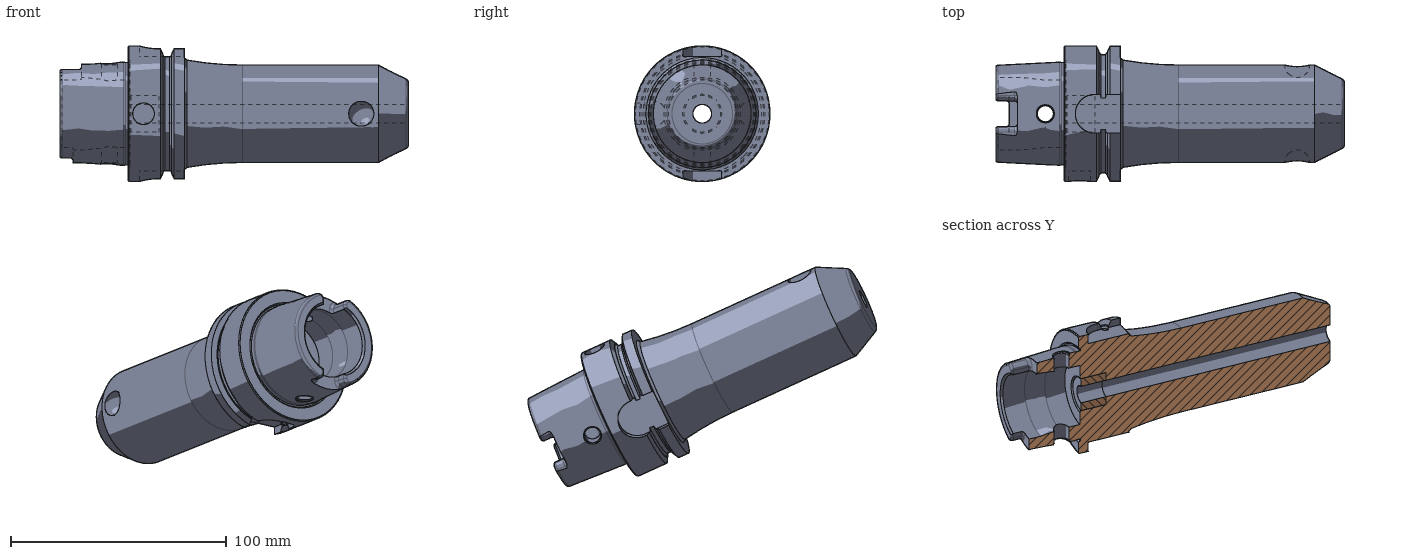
import cadquery as cq
import math

TOTAL_LENGTH = 161.9
FLANGE_START = 31.7
FLANGE_END = 57.8
FLANGE_DIAMETER = 63.0
FLANGE_RADIUS = FLANGE_DIAMETER / 2
FLANGE_CHAMFER = 0.5

SHANK_END_RADIUS = 22.5
SHANK_TAPER = 0.05
SHANK_TAPER_END = 29.6
SHANK_RIM_ROUND = 1.1
RELIEF_RADIUS = 23.8
RELIEF_SLOPE = 1.0
FACE_GROOVE_RADIUS = 25.3
FACE_GROOVE_DEPTH = 0.8
FACE_GROOVE_CHAMFER = 0.6

GROOVE_START = 46.6
GROOVE_END = 53.1
GROOVE_RADIUS = 27.5
GROOVE_CHAMFER = 1.3
GROOVE_CHAMFER_DROP = 2.5
GROOVE_CORNER = 1.0

NECK_START = 59.1
NECK_START_RADIUS = 25.0
NECK_FLARE_RADIUS = 26.0
NECK_END = 84.7
BARREL_RADIUS = 22.7
NOSE_START = 147.8
NOSE_TIP_RADIUS = 15.5
NOSE_ROUND = 2.5

BORE_MOUTH_RADIUS = 17.8
BORE_CHAMFER = 1.0
BORE_RADIUS = 16.8
BORE_STRAIGHT_END = 12.1
BORE_INNER_RADIUS = 15.7
BORE_CONE_END = 22.0
BORE_DEPTH = 32.4
RECESS_RADIUS = 8.4
RECESS_CHAMFER = 0.6
COOLANT_DIAMETER = 8.5
COOLANT_RADIUS = COOLANT_DIAMETER / 2

PLUG_LENGTH = 13.0
PLUG_START = BORE_DEPTH + RECESS_CHAMFER
PLUG_END = PLUG_START + PLUG_LENGTH

NOTCH_HALF_WIDTH = 6.0
NOTCH_ROUND = 2.6
NOTCH_ROUND_TOP = 20.5
NOTCH_FLOOR_FILLET = 1.3
TOP_NOTCH_DEPTH = 10.0
BOTTOM_NOTCH_DEPTH = 6.2

CROSS_HOLE_X = 23.0
CROSS_HOLE_RADIUS = 3.7
CROSS_HOLE_CHAMFER = 0.5

KEYWAY_WIDTH = 18.0
KEYWAY_START = 36.9
KEYWAY_FLOOR = 26.5

CHIP_HOLE_X = 38.9
CHIP_HOLE_RADIUS = 5.0
CHIP_HOLE_DEPTH = 4.9
DIMPLE_X = 139.9
DIMPLE_RADIUS = 5.8


def turn_about_x(outline):
    """Full revolution of a closed XY outline about the X axis."""
    return outline.revolve(360, (0, 0, 0), (1, 0, 0))


def make_outside():
    """Turned outside of the holder, revolved about the X axis."""
    taper_end_radius = SHANK_END_RADIUS + SHANK_TAPER * SHANK_TAPER_END
    groove_side_radius = FLANGE_RADIUS - GROOVE_CHAMFER_DROP

    neck_length = NECK_END - NECK_START
    neck_rise = NECK_START_RADIUS - BARREL_RADIUS
    neck_arc = (neck_length**2 + neck_rise**2) / (2 * neck_rise)
    half_angle = math.asin(neck_length / neck_arc) / 2
    neck_middle = (
        NECK_END - neck_arc * math.sin(half_angle),
        BARREL_RADIUS + neck_arc * (1 - math.cos(half_angle)),
    )

    outline = (
        cq.Workplane("XY")
        .moveTo(0, 0)
        .lineTo(0, SHANK_END_RADIUS)
        .lineTo(SHANK_TAPER_END, taper_end_radius)
        .lineTo(SHANK_TAPER_END + RELIEF_SLOPE, RELIEF_RADIUS)
        .lineTo(FLANGE_START + FACE_GROOVE_DEPTH, RELIEF_RADIUS)
        .lineTo(FLANGE_START + FACE_GROOVE_DEPTH, FACE_GROOVE_RADIUS - FACE_GROOVE_CHAMFER)
        .lineTo(FLANGE_START, FACE_GROOVE_RADIUS)
        .lineTo(FLANGE_START, FLANGE_RADIUS - FLANGE_CHAMFER)
        .lineTo(FLANGE_START + FLANGE_CHAMFER, FLANGE_RADIUS)
        .lineTo(GROOVE_START, FLANGE_RADIUS)
        .lineTo(GROOVE_START + GROOVE_CHAMFER, groove_side_radius)
        .lineTo(GROOVE_START + GROOVE_CHAMFER, GROOVE_RADIUS + GROOVE_CORNER)
        .lineTo(GROOVE_START + GROOVE_CHAMFER + GROOVE_CORNER, GROOVE_RADIUS)
        .lineTo(GROOVE_END - GROOVE_CHAMFER - GROOVE_CORNER, GROOVE_RADIUS)
        .lineTo(GROOVE_END - GROOVE_CHAMFER, GROOVE_RADIUS + GROOVE_CORNER)
        .lineTo(GROOVE_END - GROOVE_CHAMFER, groove_side_radius)
        .lineTo(GROOVE_END, FLANGE_RADIUS)
        .lineTo(FLANGE_END, FLANGE_RADIUS)
        .lineTo(FLANGE_END, NECK_FLARE_RADIUS)
        .lineTo(NECK_START, NECK_START_RADIUS)
        .threePointArc(neck_middle, (NECK_END, BARREL_RADIUS))
        .lineTo(NOSE_START, BARREL_RADIUS)
        .lineTo(TOTAL_LENGTH, NOSE_TIP_RADIUS)
        .lineTo(TOTAL_LENGTH, 0)
        .close()
    )
    return turn_about_x(outline).faces(">X").edges().fillet(NOSE_ROUND)


def make_bore():
    """Stepped cavity: bore, chamfered plug recess and through hole."""
    outline = (
        cq.Workplane("XY")
        .moveTo(0, 0)
        .lineTo(0, BORE_MOUTH_RADIUS)
        .lineTo(BORE_CHAMFER, BORE_RADIUS)
        .lineTo(BORE_STRAIGHT_END, BORE_RADIUS)
        .lineTo(BORE_CONE_END, BORE_INNER_RADIUS)
        .lineTo(BORE_DEPTH, BORE_INNER_RADIUS)
        .lineTo(BORE_DEPTH, RECESS_RADIUS + RECESS_CHAMFER)
        .lineTo(PLUG_START, RECESS_RADIUS)
        .lineTo(PLUG_END, RECESS_RADIUS)
        .lineTo(PLUG_END, COOLANT_RADIUS)
        .lineTo(TOTAL_LENGTH, COOLANT_RADIUS)
        .lineTo(TOTAL_LENGTH, 0)
        .close()
    )
    return turn_about_x(outline)


def make_notch(depth):
    """Cutter for the notch on the +Z side of the shank mouth."""
    inner_z = BORE_INNER_RADIUS / 2
    outer_z = FLANGE_RADIUS
    outer_y = NOTCH_HALF_WIDTH + 3 * NOTCH_ROUND
    round_start = NOTCH_ROUND_TOP - NOTCH_ROUND
    round_end = NOTCH_HALF_WIDTH + NOTCH_ROUND
    half = (
        cq.Workplane("YZ")
        .moveTo(0, inner_z)
        .lineTo(NOTCH_HALF_WIDTH, inner_z)
        .lineTo(NOTCH_HALF_WIDTH, round_start)
        .radiusArc((round_end, NOTCH_ROUND_TOP), NOTCH_ROUND)
        .lineTo(outer_y, NOTCH_ROUND_TOP)
        .lineTo(outer_y, outer_z)
        .lineTo(0, outer_z)
        .mirrorY()
    )
    return half.extrude(depth).faces(">X").edges().fillet(NOTCH_FLOOR_FILLET)


def make_cross_hole():
    """Radial hole through both shank walls, chamfered at the outside."""
    wall_radius = SHANK_END_RADIUS + SHANK_TAPER * CROSS_HOLE_X
    countersink_end = wall_radius - CROSS_HOLE_CHAMFER
    countersink_radius = CROSS_HOLE_RADIUS + CROSS_HOLE_CHAMFER
    outline = (
        cq.Workplane("XZ", origin=(CROSS_HOLE_X, 0, 0))
        .moveTo(0, 0)
        .lineTo(CROSS_HOLE_RADIUS, 0)
        .lineTo(CROSS_HOLE_RADIUS, countersink_end - CROSS_HOLE_CHAMFER)
        .lineTo(countersink_radius, countersink_end)
        .lineTo(countersink_radius, FLANGE_RADIUS)
        .lineTo(0, FLANGE_RADIUS)
        .close()
    )
    upper = outline.revolve(360, (0, 0, 0), (0, 1, 0))
    return upper.union(upper.mirror("XY"))


def make_keyway():
    """Round-ended keyway on the +Z side, open toward the barrel."""
    half_width = KEYWAY_WIDTH / 2
    centre = KEYWAY_START + half_width
    return (
        cq.Workplane("XY", origin=(0, 0, KEYWAY_FLOOR))
        .moveTo(centre, half_width)
        .threePointArc((KEYWAY_START, 0), (centre, -half_width))
        .lineTo(FLANGE_END, -half_width)
        .lineTo(FLANGE_END, half_width)
        .close()
        .extrude(FLANGE_RADIUS - KEYWAY_FLOOR)
    )


def make_chip_hole():
    """Flat-bottomed blind hole on the -Y side of the flange."""
    return (
        cq.Workplane("XZ", origin=(CHIP_HOLE_X, CHIP_HOLE_DEPTH - FLANGE_RADIUS, 0))
        .circle(CHIP_HOLE_RADIUS)
        .extrude(CHIP_HOLE_DEPTH)
    )


def make_dimple(side):
    """Ball centred on the barrel surface, on the -Y or +Y side."""
    return cq.Workplane("XY", origin=(DIMPLE_X, side * BARREL_RADIUS, 0)).sphere(DIMPLE_RADIUS)


def make_holder():
    """Turned body with all its notches, holes, keyways and dimples."""
    holder = make_outside()
    holder = holder.cut(make_notch(TOP_NOTCH_DEPTH))
    holder = holder.cut(make_notch(BOTTOM_NOTCH_DEPTH).mirror("XY"))
    holder = holder.faces("<X").edges().fillet(SHANK_RIM_ROUND)
    holder = holder.cut(make_bore())

    keyway = make_keyway()
    holder = holder.cut(keyway).cut(keyway.mirror("XY"))
    holder = holder.cut(make_cross_hole()).cut(make_chip_hole())

    for side in (-1, 1):
        holder = holder.cut(make_dimple(side))
    return holder


def make_plug():
    """Ring-shaped plug that fills the recess and leaves the coolant hole open."""
    return (
        cq.Workplane("YZ", origin=(PLUG_START, 0, 0))
        .circle(RECESS_RADIUS)
        .circle(COOLANT_RADIUS)
        .extrude(PLUG_LENGTH)
    )


holder = make_holder()
plug = make_plug()
result = cq.Compound.makeCompound([holder.val(), plug.val()])